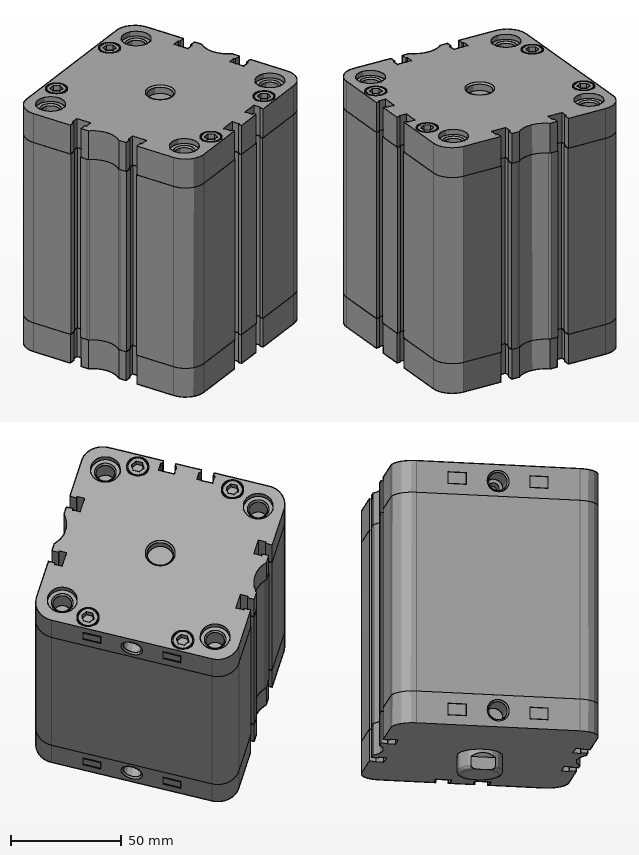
import cadquery as cq
import math


side = 95.5
corner_radius = 10.0
total_height = 133
rod_reach = 9.0
body_height = total_height - rod_reach
cap_height = 15.0
barrel_height = body_height - 2 * cap_height
half_side = side / 2

y_slot_offset = 15.0
y_slot_depth = 6.8
y_slot_lip = 3.2
x_slot_offset = 9.0
x_slot_depth = 5.5
x_slot_lip = 1.6
barrel_neck_width = 5.3
barrel_slot_width = 6.9
cap_slot_clearance = 0.5

groove_radius = 12.5
groove_depth = 3.0
groove_edge_radius = 1.9
groove_axis = half_side + groove_radius - groove_depth

mount_offset = 36.0
mount_counterbore = 13.5
mount_counterbore_depth = 2.5
mount_chamfer_diameter = 9.8
mount_thread_diameter = 8.4
mount_thread_depth = 9.3

centre_diameter = 12.0
centre_rim_diameter = 13.5
centre_depth = 4.0

screw_x = 41.6
screw_y = 22.3
screw_hole_diameter = 10.1
screw_head_diameter = 9.0
screw_gap_depth = 0.8
hex_across_flats = 5.0
hex_depth = 2.7

port_edge_distance = 7.8
port_rim_diameter = 10.1
port_diameter = 8.5
port_depth = 12.0
passage_diameter = 5.0
passage_depth = 17.3

label_offset = 18.9
label_edge_distance = 7.3
label_width = 8.4
label_height = 5.5
label_depth = 0.4

rod_diameter = 20.6
rod_end_fillet = 1.6
rod_flat_width = 17.3
rod_flat_start = 3.2


def t_slot(offset, depth, lip, clearance, height):
    """T-slot cutter that opens through the +Y face at x = offset."""
    neck = (barrel_neck_width + clearance) / 2
    wide = (barrel_slot_width + clearance) / 2
    floor = half_side - depth
    shoulder = half_side - lip
    outline = [
        (-neck, half_side), (-neck, shoulder), (-wide, shoulder), (-wide, floor),
        (wide, floor), (wide, shoulder), (neck, shoulder), (neck, half_side),
    ]
    return cq.Workplane("XY").polyline(outline).close().extrude(height).translate((offset, 0, 0))


def profile(height, clearance, groove_edges):
    """Square bar with the slots and grooves, standing on z = 0."""
    bar = cq.Workplane("XY").rect(side, side).extrude(height).edges("|Z").fillet(corner_radius)
    for turn in (0, 180):
        groove = cq.Workplane("XY").center(0, groove_axis).circle(groove_radius).extrude(height)
        bar = bar.cut(groove.rotate((0, 0, 0), (0, 0, 1), turn))
    if groove_edges:
        edge_x = math.sqrt(groove_radius**2 - (groove_axis - half_side) ** 2)
        for x in (-edge_x, edge_x):
            for y in (-half_side, half_side):
                edge = cq.selectors.NearestToPointSelector((x, y, height / 2))
                bar = bar.edges("|Z").edges(edge).fillet(groove_edge_radius)
    for direction in (-1, 1):
        y_slot = t_slot(direction * y_slot_offset, y_slot_depth, y_slot_lip, clearance, height)
        bar = bar.cut(y_slot).cut(y_slot.mirror("XZ"))
        x_slot = t_slot(direction * x_slot_offset, x_slot_depth, x_slot_lip, clearance, height)
        bar = bar.cut(x_slot.rotate((0, 0, 0), (0, 0, 1), -90))
    return bar


def hole(diameter, depth, rim_diameter):
    """Blind hole cutter going down from z = 0, with a 45 degree chamfer up to its rim diameter."""
    cutter = cq.Workplane("XY").circle(diameter / 2).extrude(-depth)
    if rim_diameter > diameter:
        chamfer = (rim_diameter - diameter) / 2
        cutter = cutter.union(cq.Workplane("XY").circle(rim_diameter / 2).extrude(-chamfer, taper=45))
    return cutter


def port(z, with_passage):
    """Air port cutter going into the -X face at height z."""
    cutter = hole(port_diameter, port_depth, port_rim_diameter)
    if with_passage:
        cutter = cutter.union(hole(passage_diameter, passage_depth, passage_diameter))
    return cutter.rotate((0, 0, 0), (0, 1, 0), -90).translate((-half_side, 0, z))


def labels(z):
    """Cutter for the pair of shallow rectangular recesses in the -X face at height z."""
    spots = [(-label_offset, z), (label_offset, z)]
    face = cq.Workplane("YZ", origin=(-half_side, 0, 0)).pushPoints(spots)
    return face.rect(label_width, label_height).extrude(label_depth)


def mounting_hole():
    """Counterbored thread hole cutter going down from z = 0."""
    counterbore = hole(mount_counterbore, mount_counterbore_depth, mount_counterbore)
    thread = hole(mount_thread_diameter, mount_thread_depth, mount_chamfer_diameter)
    return counterbore.union(thread.translate((0, 0, -mount_counterbore_depth)))


def screw_recess():
    """Ring-shaped gap and hexagon socket of one cap screw, going down from z = 0."""
    gap = cq.Workplane("XY").circle(screw_hole_diameter / 2).circle(screw_head_diameter / 2)
    gap = gap.extrude(-screw_gap_depth)
    hex_across_corners = hex_across_flats / math.cos(math.pi / 6)
    socket = cq.Workplane("XY").polygon(6, hex_across_corners).extrude(-hex_depth)
    return gap.union(socket.rotate((0, 0, 0), (0, 0, 1), 30))


def make_end_cap():
    cap = profile(cap_height, cap_slot_clearance, False).translate((0, 0, body_height - cap_height))
    for x in (-1, 1):
        for y in (-1, 1):
            mount_place = (x * mount_offset, y * mount_offset, body_height)
            cap = cap.cut(mounting_hole().translate(mount_place))
            screw_place = (x * screw_x, y * screw_y, body_height)
            cap = cap.cut(screw_recess().translate(screw_place))
    centre_recess = hole(centre_diameter, centre_depth, centre_rim_diameter)
    cap = cap.cut(centre_recess.translate((0, 0, body_height)))
    cap = cap.cut(port(body_height - port_edge_distance, True))
    return cap.cut(labels(body_height - label_edge_distance))


def make_barrel():
    return profile(barrel_height, 0, True).translate((0, 0, cap_height))


def make_rod_cap():
    rod_bore = cq.Workplane("XY").circle(rod_diameter / 2).extrude(cap_height)
    cap = profile(cap_height, cap_slot_clearance, False).cut(rod_bore)
    cap = cap.cut(port(port_edge_distance, False))
    return cap.cut(labels(label_edge_distance))


def make_rod():
    rod_bottom = -rod_reach
    rod = cq.Workplane("XY", origin=(0, 0, rod_bottom)).circle(rod_diameter / 2)
    rod = rod.extrude(rod_reach + cap_height).faces("<Z").edges().fillet(rod_end_fillet)
    flat_x = rod_flat_width / 2
    outer_x = rod_diameter / 2
    outline = [
        (flat_x, rod_bottom),
        (flat_x, -rod_flat_start),
        (outer_x, -rod_flat_start + outer_x - flat_x),
        (outer_x, rod_bottom),
    ]
    flat = cq.Workplane("XZ").polyline(outline).close().extrude(outer_x, both=True)
    return rod.cut(flat).cut(flat.mirror("YZ"))


end_cap = make_end_cap()
barrel = make_barrel()
rod_cap = make_rod_cap()
rod = make_rod()

result = cq.Compound.makeCompound([end_cap.val(), barrel.val(), rod_cap.val(), rod.val()])